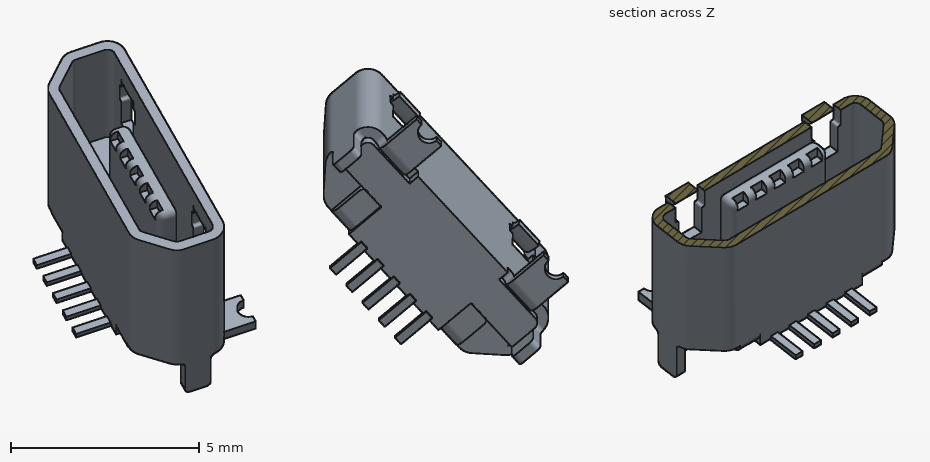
import cadquery as cq
import math


width = 7.5
depth = 2.45
wall = 0.3
rim_z = 5.1
shell_bottom_z = 0.4
corner_radius = 0.5
front_chamfer = 0.915
centre_wall_width = 3.6

base_front_y = 1.15
cavity_floor_z = 1.5
tongue_width = 3.4
tongue_thickness = 0.585
tongue_back_gap = 0.6
tongue_top_z = 4.095
tongue_fillet = 0.2

contact_count = 5
contact_pitch = 0.65
groove_width = 0.375
groove_depth = 0.22
groove_height = 0.3
pin_width = 0.25
pin_thickness = 0.15
pin_reach = 1.0
pin_inset = 0.11
foot_drop = 0.05

leg_width = 0.75
leg_centre_y = base_front_y + leg_width / 2
leg_bottom_z = -0.85
leg_fillet = 0.15

tab_width = 1.0
tab_centre_x = 2.55
tab_reach = 1.05
tab_notch_radius = 0.3
tab_root_fillet = 0.15

flap_width = 0.705
flap_corner_radius = 0.15

window_centre_x = 2.4
window_width = 0.8
window_top_z = 4.49
window_bottom_z = 2.7
window_step = 0.11
wide_top_z = 4.22
wide_bottom_z = 3.54
lip_radius = 0.28
lip_angle = math.radians(84)

half_width = width / 2


def box(x_range, y_range, z_range):
    """Block between the given limits along each axis."""
    size = [end - start for start, end in (x_range, y_range, z_range)]
    start_corner = (x_range[0], y_range[0], z_range[0])
    return cq.Workplane("XY").box(*size, centered=False).translate(start_corner)


def yz_plane(x):
    """Sketch plane at the given X, with local axes along Y and Z."""
    return cq.Workplane("YZ", origin=(x, 0, 0))


def both_sides(shape):
    """The shape together with its mirror image across the X = 0 plane."""
    return shape.union(shape.mirror("YZ"))


def shell_prism(inset, bottom_z, top_z):
    """Rounded shell outline, moved inward by the inset, as an upright prism."""
    chamfer = front_chamfer - inset * (2 - math.sqrt(2))
    side = half_width - inset
    front, back = inset, depth - inset
    outline = [
        (-side + chamfer, front),
        (side - chamfer, front),
        (side, front + chamfer),
        (side, back),
        (-side, back),
        (-side, front + chamfer),
    ]
    prism = cq.Workplane("XY").workplane(offset=bottom_z).polyline(outline).close().extrude(top_z - bottom_z)
    return prism.edges("|Z").fillet(corner_radius - inset)


def make_shell():
    """Open shell, with its front and back walls carried down to the base underside at mid-width."""
    ring = shell_prism(0, 0, rim_z).cut(shell_prism(wall, 0, rim_z))
    side_gap = box((centre_wall_width / 2, half_width), (0, depth), (0, shell_bottom_z))
    return ring.cut(both_sides(side_gap))


def make_base():
    """Plastic filling the bottom of the shell, set back above the folded front flaps."""
    base = shell_prism(wall, 0, cavity_floor_z)
    recess = box((centre_wall_width / 2, half_width), (0, base_front_y), (0, shell_bottom_z))
    return base.cut(both_sides(recess))


def contact_positions():
    """X of each contact, centred on the part."""
    return [(i - (contact_count - 1) / 2) * contact_pitch for i in range(contact_count)]


def make_tongue():
    """Rounded tongue with a row of contact grooves along the front of its tip."""
    back = depth - tongue_back_gap
    front = back - tongue_thickness
    tongue = box((-tongue_width / 2, tongue_width / 2), (front, back), (0, tongue_top_z))
    tongue = tongue.edges("|Z").fillet(tongue_fillet).faces(">Z").edges().fillet(tongue_fillet)
    for x in contact_positions():
        groove = box(
            (x - groove_width / 2, x + groove_width / 2),
            (front, front + groove_depth),
            (tongue_top_z - groove_height, tongue_top_z),
        )
        tongue = tongue.cut(groove)
    return tongue


def make_pin(x):
    """Straight soldering pin reaching forward from under the front wall."""
    return box(
        (x - pin_width / 2, x + pin_width / 2),
        (-pin_reach, pin_inset),
        (-foot_drop, pin_thickness - foot_drop),
    )


def make_leg():
    """Leg below the +X wall, flared into the shell edge and rounded at its foot."""
    front = leg_centre_y - leg_width / 2
    back = leg_centre_y + leg_width / 2
    fillet_z = shell_bottom_z - leg_fillet
    leg = (
        yz_plane(half_width - wall)
        .moveTo(front - leg_fillet, shell_bottom_z)
        .radiusArc((front, fillet_z), leg_fillet)
        .lineTo(front, leg_bottom_z + leg_fillet)
        .radiusArc((front + leg_fillet, leg_bottom_z), -leg_fillet)
        .lineTo(back - leg_fillet, leg_bottom_z)
        .radiusArc((back, leg_bottom_z + leg_fillet), -leg_fillet)
        .lineTo(back, fillet_z)
        .radiusArc((back + leg_fillet, shell_bottom_z), leg_fillet)
        .close()
        .extrude(wall)
    )
    return leg.intersect(shell_prism(0, leg_bottom_z, shell_bottom_z))


def make_tab():
    """Back wall strip bent outward into a flat soldering tab with a round end notch."""
    bottom_z = -foot_drop
    bend_z = bottom_z + wall
    end_y = depth + tab_reach
    left = tab_centre_x - tab_width / 2
    right = tab_centre_x + tab_width / 2
    strip = (
        yz_plane(left)
        .moveTo(depth, shell_bottom_z)
        .lineTo(depth, bend_z)
        .lineTo(end_y, bend_z)
        .lineTo(end_y, bottom_z)
        .lineTo(depth, bottom_z)
        .radiusArc((depth - wall, bend_z), wall)
        .lineTo(depth - wall, shell_bottom_z)
        .close()
        .extrude(tab_width)
    )
    notch = (
        cq.Workplane("XY", origin=(tab_centre_x, end_y, bottom_z)).circle(tab_notch_radius).extrude(wall)
    )
    fillet_z = shell_bottom_z - tab_root_fillet
    root = (
        cq.Workplane("XZ", origin=(0, depth, 0))
        .moveTo(left - tab_root_fillet, shell_bottom_z)
        .radiusArc((left, fillet_z), tab_root_fillet)
        .lineTo(right, fillet_z)
        .radiusArc((right + tab_root_fillet, shell_bottom_z), tab_root_fillet)
        .close()
        .extrude(wall)
    )
    root = root.intersect(shell_prism(0, fillet_z, shell_bottom_z))
    return strip.cut(notch).union(root)


def make_flap():
    """Front wall strip folded inward beneath the shell edge."""
    start_x = centre_wall_width / 2
    bottom_z = shell_bottom_z - wall
    flap = (
        yz_plane(start_x)
        .moveTo(0, shell_bottom_z)
        .radiusArc((wall, bottom_z), -wall)
        .lineTo(base_front_y, bottom_z)
        .lineTo(base_front_y, shell_bottom_z)
        .close()
        .extrude(flap_width)
    )
    return flap.edges(">X and >Y and |Z").fillet(flap_corner_radius)


def make_window():
    """Latch opening through the back wall, widened over a middle stretch with S-shaped steps."""
    narrow = window_width / 2
    wide = narrow + window_step
    step_radius = window_step / 2
    middle = narrow + step_radius
    return (
        cq.Workplane("XZ", origin=(window_centre_x, depth, 0))
        .moveTo(-narrow, window_top_z)
        .lineTo(narrow, window_top_z)
        .lineTo(narrow, wide_top_z)
        .radiusArc((middle, wide_top_z - step_radius), -step_radius)
        .radiusArc((wide, wide_top_z - window_step), step_radius)
        .lineTo(wide, wide_bottom_z + window_step)
        .radiusArc((middle, wide_bottom_z + step_radius), step_radius)
        .radiusArc((narrow, wide_bottom_z), -step_radius)
        .lineTo(narrow, window_bottom_z)
        .lineTo(-narrow, window_bottom_z)
        .lineTo(-narrow, wide_bottom_z)
        .radiusArc((-middle, wide_bottom_z + step_radius), -step_radius)
        .radiusArc((-wide, wide_bottom_z + window_step), step_radius)
        .lineTo(-wide, wide_top_z - window_step)
        .radiusArc((-middle, wide_top_z - step_radius), step_radius)
        .radiusArc((-narrow, wide_top_z), -step_radius)
        .close()
        .extrude(wall)
    )


def make_lip():
    """Strip of wall curling outward from the upper edge of a window."""
    centre_y = depth + lip_radius

    def bend_point(radius, angle):
        return (centre_y - radius * math.cos(angle), window_top_z - radius * math.sin(angle))

    inner_radius = lip_radius + wall
    return (
        yz_plane(window_centre_x - window_width / 2)
        .moveTo(*bend_point(lip_radius, 0))
        .threePointArc(bend_point(lip_radius, lip_angle / 2), bend_point(lip_radius, lip_angle))
        .lineTo(*bend_point(inner_radius, lip_angle))
        .threePointArc(bend_point(inner_radius, lip_angle / 2), bend_point(inner_radius, 0))
        .close()
        .extrude(window_width)
    )


shell = make_shell().cut(both_sides(make_window()))
result = shell.union(make_base()).union(make_tongue())
for side_feature in (make_leg(), make_tab(), make_flap(), make_lip()):
    result = result.union(both_sides(side_feature))
for pin_x in contact_positions():
    result = result.union(make_pin(pin_x))